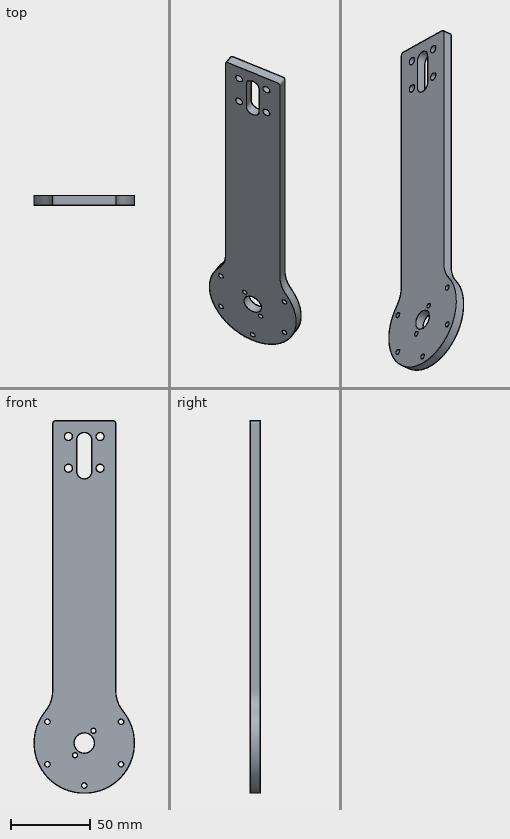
import cadquery as cq
import math

total_height = 235.0
thickness = 6.3
disc_radius = 31.7
arm_width = 40.0
corner_radius = 1.9
neck_radius = 20.0

bore_diameter = 12.7
rim_hole_diameter = 3.3
rim_hole_circle_radius = 26.8
rim_hole_angles = (30, 150, 210, 270, 330)
pin_hole_diameter = 3.0
pin_hole_circle_radius = 9.6
pin_hole_angles = (53, 233)

mount_hole_diameter = 5.0
mount_hole_spacing = 20.0
mount_centre_from_top = 20.0
slot_width = 9.5
slot_length = 29.1
slot_centre_from_top = 22.0

arm_top = total_height - disc_radius
half_arm = arm_width / 2


def polar_points(radius, angles):
    """Points on a circle about the disc centre, angles in degrees."""
    return [
        (radius * math.cos(math.radians(a)), radius * math.sin(math.radians(a)))
        for a in angles
    ]


def front_plane():
    """Sketch plane facing -Y, centred on the plate thickness."""
    return cq.Workplane("XZ")


def make_plate():
    """Rounded arm blending into the disc through tangent concave necks."""
    neck_x = half_arm + neck_radius
    neck_z = math.sqrt((disc_radius + neck_radius) ** 2 - neck_x ** 2)
    touch_ratio = disc_radius / (disc_radius + neck_radius)
    touch_x = neck_x * touch_ratio
    touch_z = neck_z * touch_ratio
    mid_angle = (math.pi + math.pi + math.atan2(neck_z, neck_x)) / 2
    mid_x = neck_x + neck_radius * math.cos(mid_angle)
    mid_z = neck_z + neck_radius * math.sin(mid_angle)

    outline = (
        front_plane()
        .moveTo(half_arm, arm_top)
        .lineTo(half_arm, neck_z)
        .threePointArc((mid_x, mid_z), (touch_x, touch_z))
        .threePointArc((0, -disc_radius), (-touch_x, touch_z))
        .threePointArc((-mid_x, mid_z), (-half_arm, neck_z))
        .lineTo(-half_arm, arm_top)
        .close()
    )
    plate = outline.extrude(thickness / 2, both=True)
    return plate.edges("|Y").edges(">Z").fillet(corner_radius)


def round_holes(points, diameter):
    """Cylinders that pass right through the plate."""
    return front_plane().pushPoints(points).circle(diameter / 2).extrude(thickness, both=True)


def slot():
    """Round-ended opening along the arm."""
    return (
        front_plane()
        .center(0, arm_top - slot_centre_from_top)
        .slot2D(slot_length, slot_width, 90)
        .extrude(thickness, both=True)
    )


half_spacing = mount_hole_spacing / 2
mount_centre_z = arm_top - mount_centre_from_top
mount_points = [
    (side * half_spacing, mount_centre_z + level * half_spacing)
    for side in (-1, 1)
    for level in (-1, 1)
]

result = (
    make_plate()
    .cut(round_holes([(0, 0)], bore_diameter))
    .cut(round_holes(polar_points(rim_hole_circle_radius, rim_hole_angles), rim_hole_diameter))
    .cut(round_holes(polar_points(pin_hole_circle_radius, pin_hole_angles), pin_hole_diameter))
    .cut(round_holes(mount_points, mount_hole_diameter))
    .cut(slot())
)